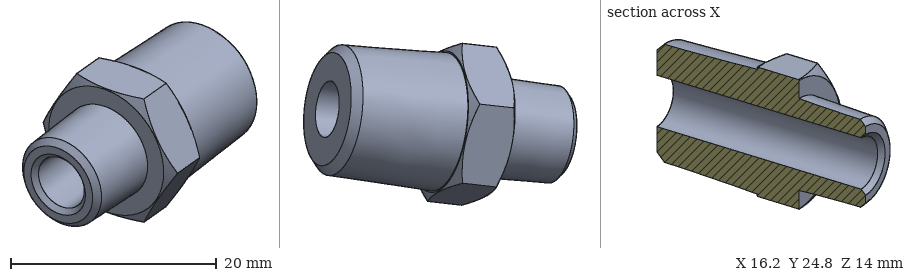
import cadquery as cq
import math

small_length = 7.89
hex_length = 5.0
total_length = 24.8
hex_start = small_length
hex_end = hex_start + hex_length

across_flats = 14.0
across_corners = across_flats / math.cos(math.radians(30))
hex_face_radius = 6.92
hex_chamfer_angle = 30.0

small_base_radius = 4.98
small_tip_radius = 4.75
small_chamfer = 0.62
large_base_radius = 6.77
large_tip_radius = 6.4
large_chamfer = 0.87

bore_radius = 2.75
countersink = 0.52


def revolve_profile(points):
    """Revolve a closed (radius, y) profile about the Y axis."""
    profile = cq.Workplane("XY").polyline(points).close()
    return profile.revolve(360, (0, 0, 0), (0, 1, 0))


def make_hexagon():
    """Hexagonal prism with its corners turned down at both faces."""
    prism = (
        cq.Workplane("XZ", origin=(0, hex_end, 0))
        .polygon(6, across_corners)
        .extrude(hex_length)
    )
    corner_radius = across_corners / 2
    drop = (corner_radius - hex_face_radius) * math.tan(math.radians(hex_chamfer_angle))
    envelope = revolve_profile([
        (0, hex_start),
        (hex_face_radius, hex_start),
        (corner_radius, hex_start + drop),
        (corner_radius, hex_end - drop),
        (hex_face_radius, hex_end),
        (0, hex_end),
    ])
    return prism.intersect(envelope)


def make_tapered_ends():
    """Both tapered ends as one turned body running through the hexagon."""
    return revolve_profile([
        (0, 0),
        (small_tip_radius - small_chamfer, 0),
        (small_tip_radius, small_chamfer),
        (small_base_radius, hex_start),
        (small_base_radius, hex_end),
        (large_base_radius, hex_end),
        (large_tip_radius, total_length - large_chamfer),
        (large_tip_radius - large_chamfer, total_length),
        (0, total_length),
    ])


def make_bore():
    """Through bore with a 45 degree countersink at the small end."""
    return revolve_profile([
        (0, 0),
        (bore_radius + countersink, 0),
        (bore_radius, countersink),
        (bore_radius, total_length),
        (0, total_length),
    ])


body = make_hexagon().union(make_tapered_ends()).cut(make_bore())
result = body.translate((0, -total_length / 2, 0))